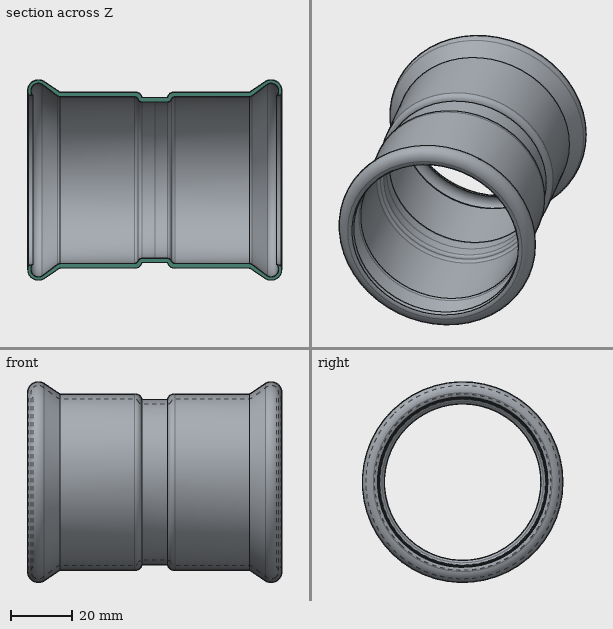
import cadquery as cq
import math

length = 83.0
lip_outer_radius = 32.74
bead_radius = 3.6
lip_wall = 1.2
lip_roll_radius = 2.7

socket_outer_radius = 57.5 / 2
socket_bore_radius = 54.4 / 2
mouth_radius = 55.0 / 2
mouth_edge_radius = 27.8
neck_outer_radius = 54.0 / 2
neck_bore_radius = 51.0 / 2

bead_end = 5.3
flare_end = 10.5
mouth_step_length = 0.8
shoulder_start = 34.9
shoulder_end = 37.35

bead_center_radius = lip_outer_radius - bead_radius
groove_radius = bead_radius - lip_wall
bead_flare_angle = math.acos((bead_end - bead_radius) / bead_radius)
groove_mouth_angle = math.pi + math.asin((bead_center_radius - mouth_radius) / groove_radius)
lip_roll_angle = math.pi + math.asin((bead_center_radius - mouth_edge_radius) / lip_roll_radius)


def bead_arc(arc_radius, center_distance, start, end):
    """Start, middle and end of an arc at the bead center radius, with angles from +X."""
    center_x = center_distance - length / 2
    return [
        (center_x + arc_radius * math.cos(angle), bead_center_radius + arc_radius * math.sin(angle))
        for angle in (start, (start + end) / 2, end)
    ]


def from_end(distance, radius):
    """Profile point at a distance from the -X end face."""
    return distance - length / 2, radius


def rounded_shoulder(start, end):
    """Midpoint that bows the arc of a shoulder outward between its ends."""
    diagonal = math.sqrt(0.5)
    x = start[0] + (end[0] - start[0]) * diagonal
    radius = end[1] + (start[1] - end[1]) * diagonal
    return x, radius


outer_shoulder_start = from_end(shoulder_start, socket_outer_radius)
outer_shoulder_end = from_end(shoulder_end, neck_outer_radius)
inner_shoulder_start = from_end(shoulder_start, socket_bore_radius)
inner_shoulder_middle = from_end(
    (shoulder_start + shoulder_end) / 2,
    (socket_bore_radius + neck_bore_radius) / 2,
)
inner_shoulder_end = from_end(shoulder_end, neck_bore_radius)

mouth_edge, roll_middle, end_face = bead_arc(lip_roll_radius, lip_roll_radius, lip_roll_angle, math.pi)
_, crest_middle, outer_flare = bead_arc(bead_radius, bead_radius, math.pi, bead_flare_angle)
groove_mouth, groove_middle, groove_flare = bead_arc(
    groove_radius, bead_radius, groove_mouth_angle, bead_flare_angle
)

half = (
    cq.Workplane("XY")
    .moveTo(*mouth_edge)
    .threePointArc(roll_middle, end_face)
    .threePointArc(crest_middle, outer_flare)
    .lineTo(*from_end(flare_end, socket_outer_radius))
    .lineTo(*outer_shoulder_start)
    .threePointArc(rounded_shoulder(outer_shoulder_start, outer_shoulder_end), outer_shoulder_end)
    .lineTo(0, neck_outer_radius)
    .lineTo(0, neck_bore_radius)
    .lineTo(*inner_shoulder_end)
    .tangentArcPoint(inner_shoulder_middle, relative=False)
    .tangentArcPoint(inner_shoulder_start, relative=False)
    .lineTo(*from_end(flare_end, socket_bore_radius))
    .lineTo(*from_end(flare_end - mouth_step_length, mouth_radius))
    .lineTo(*groove_flare)
    .threePointArc(groove_middle, groove_mouth)
    .close()
    .revolve(360, (0, 0, 0), (1, 0, 0))
)

result = half.union(half.mirror("YZ")).clean()